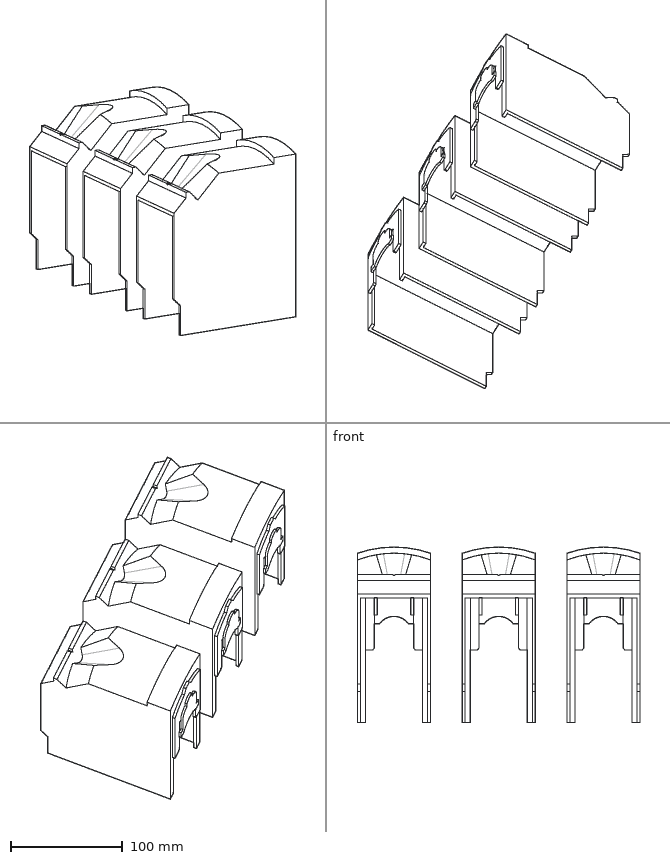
import cadquery as cq
import math

COVER_COUNT = 3
ROW_LENGTH = 253.0
COVER_WIDTH = 65.5
COVER_PITCH = (ROW_LENGTH - COVER_WIDTH) / (COVER_COUNT - 1)

BACK_Y = 126.8
TOP_Z = 157.0
BAND_FRONT_Y = 104.0
BAND_EDGE_Z = 151.5
ROOF_EDGE_Z = 145.5
VALLEY_Y = 24.8
VALLEY_Z = 123.7
SLOPE_RUN = ROOF_EDGE_Z - VALLEY_Z
CREASE_Y = VALLEY_Y + SLOPE_RUN
LIP_FRONT_Y = 12.5
LIP_TOP_Z = 132.5
LIP_BACK_Y = VALLEY_Y - (LIP_TOP_Z - VALLEY_Z)
FRONT_TOP_Z = 114.9
LIP_FOOT_Z = FRONT_TOP_Z + LIP_FRONT_Y
FOOT_SETBACK = 6.8
FOOT_TOP_Z = 27.8

BAND_RISE = TOP_Z - BAND_EDGE_Z
ROOF_RISE = 6.0

WALL = 2.8
CEILING_Z = 111.5
BACK_OPENING_WIDTH = 50.5

GROOVE_LENGTH = 60.7
GROOVE_WALL_ANGLE = 46.0
GROOVE_LOW_RADIUS = 6.3
GROOVE_HIGH_RADIUS = 16.0
GROOVE_LOW_FLOOR = -1.0
GROOVE_HIGH_FLOOR = -11.5
GROOVE_MOUTH_HEIGHT = 30.4

MARK_HALF_WIDTH = 1.5
MARK_DEPTH = 1.0

BASE_THICKNESS = 2.5
BASE_HALF_WIDTH = 28.0
BASE_BOTTOM_Z = 64.8
BASE_SHOULDER_Z = 133.3
BASE_TOP_RADIUS = 45.3
BASE_TOP_CENTER_Z = BASE_SHOULDER_Z - math.sqrt(BASE_TOP_RADIUS**2 - BASE_HALF_WIDTH**2)
LEG_GAP_WIDTH = 35.2
LEG_CHAMFER = 1.8
KNOB_TOP_Z = 148.3
KNOB_TOP_HALF_WIDTH = 3.8
KNOB_BASE_HALF_WIDTH = 7.0

TONGUE_THICKNESS = 2.0
TONGUE_HALF_WIDTH = 15.2
TONGUE_BOTTOM_Z = 88.3
TONGUE_FOOT_HALF_WIDTH = 19.0
TONGUE_FOOT_TOP_Z = 96.5
TONGUE_SHOULDER_Z = 112.3
TONGUE_NECK_HALF_WIDTH = 6.0
TONGUE_NECK_BOTTOM_Z = 122.5
TONGUE_NECK_TOP_Z = 126.5
TONGUE_TOP_Z = 129.8
TONGUE_ARCH_HALF_WIDTH = 13.0
TONGUE_ARCH_TOP_Z = 95.0


def box_between(x_range, y_range, z_range):
    """Axis-aligned box from its limits along X, Y and Z."""
    spans = [(low, high - low) for low, high in (x_range, y_range, z_range)]
    return cq.Workplane(obj=cq.Solid.makeBox(
        spans[0][1], spans[1][1], spans[2][1],
        cq.Vector(spans[0][0], spans[1][0], spans[2][0]),
    ))


def facing_back(y):
    """Workplane at the given Y with local x = +X, local y = +Z and normal -Y."""
    return cq.Workplane("XZ", origin=(0, y, 0))


def arch_segment(plane, base_height, rise):
    """Circular segment as wide as the cover, standing on base_height."""
    half = COVER_WIDTH / 2
    return (
        plane.moveTo(-half, base_height)
        .threePointArc((0, base_height + rise), (half, base_height))
        .close()
    )


def cover_body():
    """Side outline extruded across the full width, below the arched surfaces."""
    outline = [
        (FOOT_SETBACK, 0),
        (FOOT_SETBACK, FOOT_TOP_Z),
        (0, FOOT_TOP_Z + FOOT_SETBACK),
        (0, FRONT_TOP_Z),
        (LIP_FRONT_Y, LIP_FOOT_Z),
        (LIP_FRONT_Y, LIP_TOP_Z),
        (LIP_BACK_Y, LIP_TOP_Z),
        (VALLEY_Y, VALLEY_Z),
        (CREASE_Y, ROOF_EDGE_Z),
        (BAND_FRONT_Y, ROOF_EDGE_Z),
        (BAND_FRONT_Y, BAND_EDGE_Z),
        (BACK_Y, BAND_EDGE_Z),
        (BACK_Y, 0),
    ]
    return cq.Workplane("YZ").polyline(outline).close().extrude(COVER_WIDTH / 2, both=True)


def rear_band_arch():
    """Arched crown of the rear band."""
    return arch_segment(facing_back(BACK_Y), BAND_EDGE_Z, BAND_RISE).extrude(BACK_Y - BAND_FRONT_Y)


def roof_arch():
    """Arch that runs forward along the roof and turns down the slope with a mitre."""
    path = cq.Workplane("YZ").polyline([
        (BAND_FRONT_Y, ROOF_EDGE_Z),
        (CREASE_Y, ROOF_EDGE_Z),
        (VALLEY_Y, VALLEY_Z),
    ])
    return arch_segment(facing_back(BAND_FRONT_Y), ROOF_EDGE_Z, ROOF_RISE).sweep(path, transition="right")


def cover_cavity():
    """Space between the side walls, open at the front, the bottom and through the back."""
    inner_half = COVER_WIDTH / 2 - WALL
    opening_half = BACK_OPENING_WIDTH / 2
    cavity = box_between((-inner_half, inner_half), (0, BACK_Y - WALL), (0, CEILING_Z))
    opening = box_between((-opening_half, opening_half), (0, BACK_Y), (0, CEILING_Z))
    return cavity.union(opening)


def groove_section(distance, radius, floor):
    """Closed groove section square to the slope, at a distance up from the valley."""
    reach = distance / math.sqrt(2)
    plane = cq.Plane(
        origin=(0, VALLEY_Y + reach, VALLEY_Z + reach),
        xDir=(1, 0, 0),
        normal=(0, -1, -1),
    )
    angle = math.radians(GROOVE_WALL_ANGLE)
    tangent_x = radius * math.sin(angle)
    tangent_height = floor + radius * (1 - math.cos(angle))
    mouth_height = floor + GROOVE_MOUTH_HEIGHT
    mouth_x = tangent_x + (mouth_height - tangent_height) / math.tan(angle)
    section = (
        cq.Workplane(plane)
        .moveTo(-mouth_x, mouth_height)
        .lineTo(-tangent_x, tangent_height)
        .threePointArc((0, floor), (tangent_x, tangent_height))
        .lineTo(mouth_x, mouth_height)
        .close()
    )
    return section.val()


def finger_groove():
    """Tapered groove running up the slope into the roof."""
    low = groove_section(0, GROOVE_LOW_RADIUS, GROOVE_LOW_FLOOR)
    high = groove_section(GROOVE_LENGTH, GROOVE_HIGH_RADIUS, GROOVE_HIGH_FLOOR)
    return cq.Workplane(obj=cq.Solid.makeLoft([low, high], True))


def lip_mark():
    """Small V notch across the middle of the lip."""
    return (
        facing_back(VALLEY_Y)
        .polyline([
            (-MARK_HALF_WIDTH, LIP_TOP_Z),
            (0, LIP_TOP_Z - MARK_DEPTH),
            (MARK_HALF_WIDTH, LIP_TOP_Z),
        ])
        .close()
        .extrude(VALLEY_Y)
    )


def make_cover():
    return (
        cover_body()
        .union(rear_band_arch())
        .union(roof_arch())
        .cut(cover_cavity())
        .cut(finger_groove())
        .cut(lip_mark())
    )


def latch_base():
    """Flat plate with an arched top, a tapered knob and two chamfered legs."""
    def arch_z(x):
        return BASE_TOP_CENTER_Z + math.sqrt(BASE_TOP_RADIUS**2 - x**2)

    arc_mid_x = (BASE_HALF_WIDTH + KNOB_BASE_HALF_WIDTH) / 2
    knob_base_z = arch_z(KNOB_BASE_HALF_WIDTH)
    leg_inner_x = LEG_GAP_WIDTH / 2
    return (
        facing_back(BACK_Y + BASE_THICKNESS)
        .moveTo(-BASE_HALF_WIDTH, BASE_BOTTOM_Z)
        .lineTo(-BASE_HALF_WIDTH, BASE_SHOULDER_Z)
        .threePointArc((-arc_mid_x, arch_z(arc_mid_x)), (-KNOB_BASE_HALF_WIDTH, knob_base_z))
        .lineTo(-KNOB_TOP_HALF_WIDTH, KNOB_TOP_Z)
        .lineTo(KNOB_TOP_HALF_WIDTH, KNOB_TOP_Z)
        .lineTo(KNOB_BASE_HALF_WIDTH, knob_base_z)
        .threePointArc((arc_mid_x, arch_z(arc_mid_x)), (BASE_HALF_WIDTH, BASE_SHOULDER_Z))
        .lineTo(BASE_HALF_WIDTH, BASE_BOTTOM_Z)
        .lineTo(leg_inner_x + LEG_CHAMFER, BASE_BOTTOM_Z)
        .lineTo(leg_inner_x, BASE_BOTTOM_Z + LEG_CHAMFER)
        .lineTo(leg_inner_x, CEILING_Z)
        .lineTo(-leg_inner_x, CEILING_Z)
        .lineTo(-leg_inner_x, BASE_BOTTOM_Z + LEG_CHAMFER)
        .lineTo(-leg_inner_x - LEG_CHAMFER, BASE_BOTTOM_Z)
        .close()
        .extrude(BASE_THICKNESS)
    )


def latch_tongue():
    """Tongue with a round-headed neck, rounded shoulders and an arched foot."""
    shoulder_width = TONGUE_HALF_WIDTH - TONGUE_NECK_HALF_WIDTH
    shoulder_height = TONGUE_NECK_BOTTOM_Z - TONGUE_SHOULDER_Z
    shoulder_mid_x = TONGUE_NECK_HALF_WIDTH + shoulder_width * math.sqrt(0.5)
    shoulder_mid_z = TONGUE_SHOULDER_Z + shoulder_height * math.sqrt(0.5)
    return (
        facing_back(BACK_Y + BASE_THICKNESS + TONGUE_THICKNESS)
        .moveTo(-TONGUE_ARCH_HALF_WIDTH, TONGUE_BOTTOM_Z)
        .lineTo(-TONGUE_FOOT_HALF_WIDTH, TONGUE_BOTTOM_Z)
        .lineTo(-TONGUE_FOOT_HALF_WIDTH, TONGUE_FOOT_TOP_Z)
        .lineTo(-TONGUE_HALF_WIDTH, TONGUE_FOOT_TOP_Z)
        .lineTo(-TONGUE_HALF_WIDTH, TONGUE_SHOULDER_Z)
        .threePointArc(
            (-shoulder_mid_x, shoulder_mid_z),
            (-TONGUE_NECK_HALF_WIDTH, TONGUE_NECK_BOTTOM_Z),
        )
        .lineTo(-TONGUE_NECK_HALF_WIDTH, TONGUE_NECK_TOP_Z)
        .threePointArc((0, TONGUE_TOP_Z), (TONGUE_NECK_HALF_WIDTH, TONGUE_NECK_TOP_Z))
        .lineTo(TONGUE_NECK_HALF_WIDTH, TONGUE_NECK_BOTTOM_Z)
        .threePointArc((shoulder_mid_x, shoulder_mid_z), (TONGUE_HALF_WIDTH, TONGUE_SHOULDER_Z))
        .lineTo(TONGUE_HALF_WIDTH, TONGUE_FOOT_TOP_Z)
        .lineTo(TONGUE_FOOT_HALF_WIDTH, TONGUE_FOOT_TOP_Z)
        .lineTo(TONGUE_FOOT_HALF_WIDTH, TONGUE_BOTTOM_Z)
        .lineTo(TONGUE_ARCH_HALF_WIDTH, TONGUE_BOTTOM_Z)
        .threePointArc((0, TONGUE_ARCH_TOP_Z), (-TONGUE_ARCH_HALF_WIDTH, TONGUE_BOTTOM_Z))
        .close()
        .extrude(TONGUE_THICKNESS)
    )


def make_latch_plate():
    return latch_base().union(latch_tongue())


cover = make_cover()
latch_plate = make_latch_plate()
positions = [(index - (COVER_COUNT - 1) / 2) * COVER_PITCH for index in range(COVER_COUNT)]

covers = [cover.translate((x, 0, 0)).val() for x in positions]
latch_plates = [latch_plate.translate((x, 0, 0)).val() for x in positions]

result = cq.Compound.makeCompound([*covers, *latch_plates])